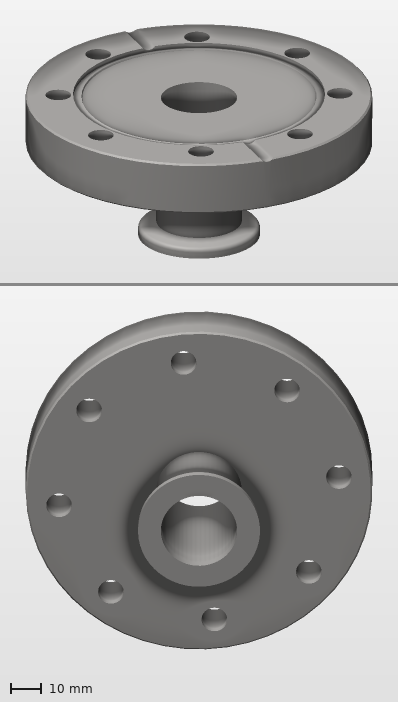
import cadquery as cq
import math

total_height = 50.0

flange_diameter = 113.5
flange_thickness = 17.6
flange_chamfer = 0.6
bore_diameter = 25.0

recess_diameter = 82.5
knife_diameter = 77.0
inner_floor_diameter = 76.5
knife_depth = 0.7
knife_slope = 20.0
inner_floor_depth = 1.2

bolt_count = 8
bolt_circle_diameter = 92.2
bolt_hole_diameter = 8.4

groove_width = 4.3
groove_depth = 1.0

tube_diameter = 28.0
socket_floor = 2.7

ring_diameter = 40.0
ring_height = 4.8
ring_rim_height = 2.2
ring_round = 1.5
ring_slope = 15.0

flange_top = total_height
flange_bottom = flange_top - flange_thickness
tube_top = flange_top - inner_floor_depth - socket_floor
tube_radius = tube_diameter / 2
bore_radius = bore_diameter / 2


def cylinder(diameter, bottom, top):
    return cq.Workplane("XY").workplane(offset=bottom).circle(diameter / 2).extrude(top - bottom)


def revolve_profile(profile):
    """Turn a closed (radius, z) profile about the Z axis."""
    return profile.close().revolve(360, (0, 0, 0), (0, 1, 0))


def sealing_recess():
    recess_radius = recess_diameter / 2
    knife_radius = knife_diameter / 2
    flank_drop = (recess_radius - knife_radius) * math.tan(math.radians(knife_slope))
    knife_tip = flange_top - knife_depth
    inner_floor = flange_top - inner_floor_depth
    profile = (
        cq.Workplane("XZ")
        .moveTo(0, flange_top)
        .lineTo(recess_radius, flange_top)
        .lineTo(recess_radius, knife_tip - flank_drop)
        .lineTo(knife_radius, knife_tip)
        .lineTo(inner_floor_diameter / 2, inner_floor)
        .lineTo(0, inner_floor)
    )
    return revolve_profile(profile)


def bolt_holes():
    return (
        cq.Workplane("XY")
        .workplane(offset=flange_bottom)
        .polarArray(bolt_circle_diameter / 2, 180 / bolt_count, 360, bolt_count)
        .circle(bolt_hole_diameter / 2)
        .extrude(flange_thickness)
    )


def leak_check_groove():
    half_width = groove_width / 2
    groove_radius = (half_width**2 + groove_depth**2) / (2 * groove_depth)
    recess_interior = cylinder(recess_diameter, flange_bottom, flange_top)
    return (
        cq.Workplane("YZ")
        .center(0, flange_top - groove_depth + groove_radius)
        .circle(groove_radius)
        .extrude(flange_diameter / 2, both=True)
        .cut(recess_interior)
    )


def make_flange():
    disc = cylinder(flange_diameter, flange_bottom, flange_top).edges().chamfer(flange_chamfer)
    bore = cylinder(bore_diameter, flange_bottom, flange_top)
    tube_socket = cylinder(tube_diameter, flange_bottom, tube_top)
    return (
        disc.cut(sealing_recess())
        .cut(bore)
        .cut(tube_socket)
        .cut(bolt_holes())
        .cut(leak_check_groove())
    )


def make_tube():
    return cylinder(tube_diameter, ring_height, tube_top).cut(cylinder(bore_diameter, ring_height, tube_top))


def make_clamp_ring():
    ring_radius = ring_diameter / 2
    slope = math.radians(ring_slope)
    round_center = ring_radius - ring_round
    middle_angle = math.radians(90 - ring_slope) / 2
    round_middle = (
        round_center + ring_round * math.cos(middle_angle),
        ring_rim_height + ring_round * math.sin(middle_angle),
    )
    round_end = (
        round_center + ring_round * math.sin(slope),
        ring_rim_height + ring_round * math.cos(slope),
    )
    profile = (
        cq.Workplane("XZ")
        .moveTo(bore_radius, 0)
        .lineTo(ring_radius, 0)
        .lineTo(ring_radius, ring_rim_height)
        .threePointArc(round_middle, round_end)
        .lineTo(tube_radius, ring_height)
        .lineTo(bore_radius, ring_height)
    )
    return revolve_profile(profile)


flange = make_flange()
tube = make_tube()
clamp_ring = make_clamp_ring()

result = cq.Compound.makeCompound([flange.val(), tube.val(), clamp_ring.val()])